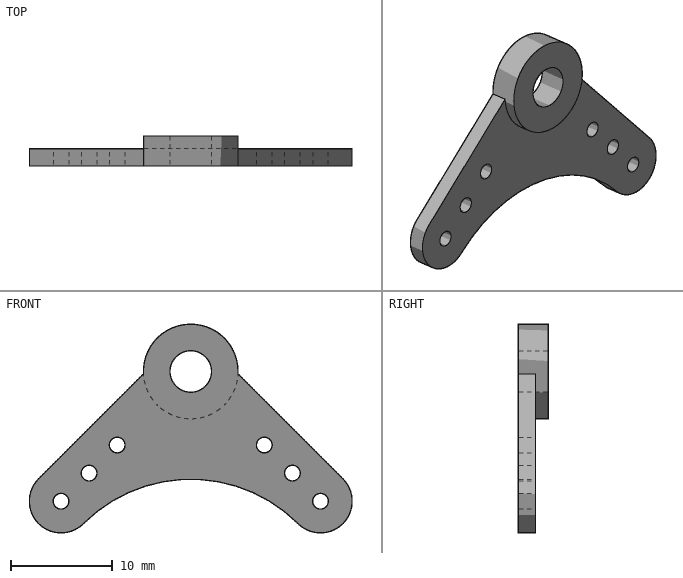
import cadquery as cq
import math

PLATE_THICKNESS = 1.73
HUB_LENGTH = 2.97
HUB_RADIUS = 4.66
BORE_DIAMETER = 4.06

TIP_RADIUS = 3.125
OVERALL_WIDTH = 31.75
ARM_HOLE_DIAMETER = 1.52
ARM_HOLE_COUNT = 3
ARM_HOLE_STEP = 2.76

DIAGONAL = math.sqrt(0.5)
TIP_OFFSET = OVERALL_WIDTH / 2 - TIP_RADIUS
TANGENT_OFFSET = TIP_RADIUS * DIAGONAL

ARCH_TOP_Z = -10.6


def mirrored(point):
    """Reflect an (x, z) point across the plane of symmetry."""
    return (-point[0], point[1])


def extrude_back(sketch, depth):
    """Extrude a front-face sketch toward +Y."""
    return sketch.extrude(-depth)


def make_plate():
    shoulder = (TIP_OFFSET + TANGENT_OFFSET, -TIP_OFFSET + TANGENT_OFFSET)
    tip_middle = (TIP_OFFSET + TANGENT_OFFSET, -TIP_OFFSET - TANGENT_OFFSET)

    tip_drop = TIP_OFFSET + ARCH_TOP_Z
    arch_radius = (TIP_OFFSET**2 + tip_drop**2 - TIP_RADIUS**2) / (2 * (tip_drop + TIP_RADIUS))
    arch_center_z = ARCH_TOP_Z - arch_radius
    tangent_share = arch_radius / (arch_radius + TIP_RADIUS)
    arch_end = (
        TIP_OFFSET * tangent_share,
        arch_center_z + (-TIP_OFFSET - arch_center_z) * tangent_share,
    )

    apex = (0, shoulder[0] + shoulder[1])
    outline = (
        cq.Workplane("XZ")
        .moveTo(*apex)
        .lineTo(*shoulder)
        .threePointArc(tip_middle, arch_end)
        .threePointArc((0, ARCH_TOP_Z), mirrored(arch_end))
        .threePointArc(mirrored(tip_middle), mirrored(shoulder))
        .close()
    )
    return extrude_back(outline, PLATE_THICKNESS)


def make_hub():
    return extrude_back(cq.Workplane("XZ").circle(HUB_RADIUS), HUB_LENGTH)


def make_bore():
    return extrude_back(cq.Workplane("XZ").circle(BORE_DIAMETER / 2), HUB_LENGTH)


def make_arm_holes():
    centers = []
    for index in range(ARM_HOLE_COUNT):
        offset = TIP_OFFSET - index * ARM_HOLE_STEP
        centers.append((offset, -offset))
        centers.append((-offset, -offset))
    holes = cq.Workplane("XZ").pushPoints(centers).circle(ARM_HOLE_DIAMETER / 2)
    return extrude_back(holes, PLATE_THICKNESS)


result = make_plate().union(make_hub()).cut(make_bore()).cut(make_arm_holes())